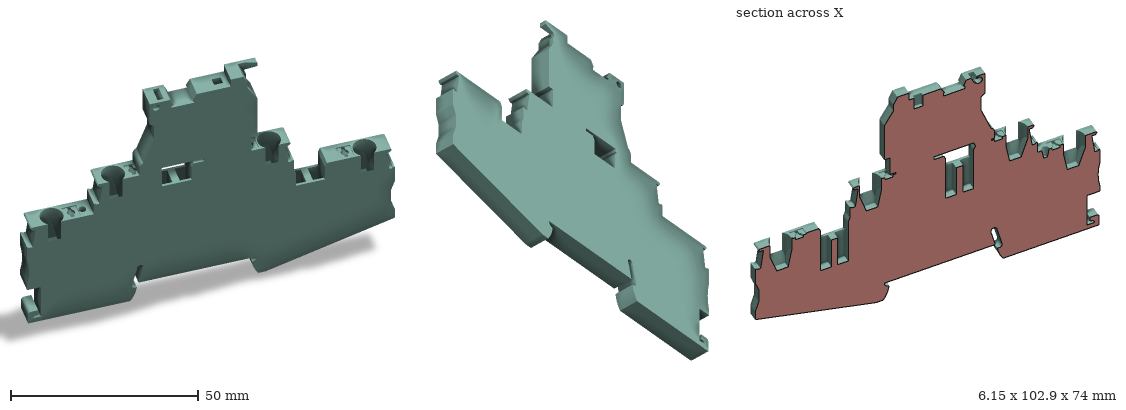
import cadquery as cq


WIDTH = 6.15
LENGTH = 102.9
HEIGHT = 73.98

LOWER_TOP = 35.2
UPPER_TOP = 45.9
UPPER_START = 28.25
UPPER_END = 84.2

LIP_TIP = 0.95
LIP_NOSE = 0.5
LIP_TOP_BEVEL = 0.3
LIP_THICKNESS = 1.15
LIP_NECK = 2.4
SHOULDER_DROP = 6.95
SHOULDER_INSET = 1.55
SHOULDER_RIM = 0.6
SHOULDER_GROOVE = 0.3

SLOT_DEPTH = 5.9
SLOT_BEVEL_DROP = 1.3
SLOT_BEVEL_RUN = 0.6
LOWER_SLOT = (19.6, 27.7)
UPPER_SLOT = (56.85, 65.1)
BRIDGE_HOLE_LENGTH = 3.1
BRIDGE_HOLE_WIDTH = 4.75
BRIDGE_HOLE_DEPTH = 10.0

RAIL_Z = 6.15
FLEX_SLIT_TOP = 12.5
LATCH_STEP_Z = 12.45
LATCH_WALL = 99.05
LATCH_FLOOR = 1.65
HOOK_LIP = 99.8
HOOK_END = 102.6
HOOK_TOP = 4.1
HOOK_UNDERSIDE = 2.45
HOLLOW_FLOOR = 1.05

PLUG_SHELF = 71.4
PLUG_GAP_TOP = 46.8
PLUG_GAP_START = 53.4
PLUG_STEP_Z = 52.1
NOTCH_FLOOR = 68.4
NOTCH_START = 56.2
NOTCH_END = 62.5
EYE_BLOCK_END = 68.6
PLUG_NECK_S = 67.4
PIVOT_S = 68.8
PIVOT_Z = 48.3
PIVOT_RADIUS = 2.67
LEVER_TIP_S = 37.2
LEVER_ROOT_S = 41.2
LEVER_RELIEF_END = 42.4
LEVER_BLOCK_END = 45.9
LEVER_WALL_TOP = 71.6
LEVER_TIP_X = -1.0
LEVER_ROOT_X = -2.05
LEVER_TAPER_END = 40.4
RAMP_START = (38.5, 65.0)
RAMP_END = (40.1, 67.6)
EYE_S = 66.7
EYE_Z = 69.6
EYE_RADIUS = 1.0
TEST_HOLE_S = 48.7
TEST_HOLE_LENGTH = 2.5
TEST_HOLE_WIDTH = 2.2
TEST_HOLE_DEPTH = 4.0
EYE_SLOT_START = 64.4
EYE_SLOT_END = 66.1
EYE_SLOT_WIDTH = 4.3
EYE_SLOT_DEPTH = 2.2
EYE_SLOT_FLOOR_START = 65.45
EYE_SLOT_FLOOR_END = 65.6

WELL_RADIUS = 3.2
WELL_X = 0.45
WELL_DEPTH = 4.3
FUNNEL_DEPTH = 6.0
FLOOR_LENGTH = 3.3
FLOOR_WIDTH = 3.9
FLOOR_SHIFT = 0.45
LOWER_WELL = 7.66
UPPER_WELL = 34.4

BUTTON_X = 0.3
BUTTON_SIZE = 4.05
BUTTON_OFFSET = 5.5
BUTTON_RECESS = 0.3
BUTTON_SLOT = 0.95
BUTTON_DIMPLE_RADIUS = 1.1
BUTTON_SLOT_DEPTH = 0.8

SOCKET_S = 86.6
SOCKET_X = 0.3
SOCKET_RADIUS = 1.05
SOCKET_TIP_RADIUS = 0.5
SOCKET_DEPTH = 3.0


def to_y(s):
    return LENGTH / 2 - s


def pt(s, z):
    """Point of a side outline on the YZ plane."""
    return (to_y(s), z)


def pts(points):
    return [pt(s, z) for s, z in points]


def extrude_side(outline):
    """Extrude a closed side outline over the full width."""
    return outline.close().extrude(WIDTH / 2, both=True)


def side_prism(points, x_start=-WIDTH / 2, x_end=WIDTH / 2):
    """Prism with a straight-edged side outline between two X positions."""
    plane = cq.Workplane("YZ", origin=(x_start, 0, 0))
    return plane.polyline(pts(points)).close().extrude(x_end - x_start)


def box_down(s, x, top, length, width, depth):
    """Box centred at (x, s) that reaches down from the given top height."""
    return cq.Workplane("XY").box(width, length, depth, centered=(True, True, False)).translate(
        (x, to_y(s), top - depth)
    )


def tier_end(end, inward, top):
    """Shoulder, neck and lip of a tier end, from the shoulder up to the lip tip."""
    shoulder = top - SHOULDER_DROP
    groove = shoulder - SHOULDER_GROOVE
    profile = [
        (0, shoulder),
        (SHOULDER_RIM, shoulder),
        (SHOULDER_RIM, groove),
        (SHOULDER_INSET, groove),
        (LIP_NECK, top - LIP_THICKNESS),
        (LIP_TIP + LIP_NOSE, top - LIP_THICKNESS),
        (LIP_TIP, top - LIP_NOSE),
        (LIP_TIP, top - LIP_TOP_BEVEL),
        (LIP_TIP + LIP_TOP_BEVEL, top),
    ]
    return [(end + inward * inset, z) for inset, z in profile]


def slot_outline(slot, top, exit_rim):
    """Slot with a bevelled entry edge; the far wall leans out to exit_rim = (s, z)."""
    start, end = slot
    return [
        (start - SLOT_BEVEL_RUN, top),
        (start, top - SLOT_BEVEL_DROP),
        (start, top - SLOT_DEPTH),
        (end, top - SLOT_DEPTH),
        (end, top - SLOT_BEVEL_DROP),
        exit_rim,
    ]


def make_body():
    top_edge = (
        tier_end(0, 1, LOWER_TOP)
        + slot_outline(LOWER_SLOT, LOWER_TOP, (UPPER_START, LOWER_TOP))
        + tier_end(UPPER_START, 1, UPPER_TOP)
        + slot_outline(UPPER_SLOT, UPPER_TOP, (UPPER_SLOT[1] + SLOT_BEVEL_RUN, UPPER_TOP))
        + tier_end(UPPER_END, -1, UPPER_TOP)[::-1]
        + [(UPPER_END, LOWER_TOP)]
        + tier_end(LENGTH, -1, LOWER_TOP)[::-1]
    )
    return extrude_side(
        cq.Workplane("YZ")
        .polyline(pts(top_edge))
        .lineTo(*pt(LENGTH, 23.3))
        .threePointArc(pt(102.35, 18.85), pt(LENGTH, 14.4))
        .lineTo(*pt(LENGTH, LATCH_STEP_Z))
        .lineTo(*pt(LATCH_WALL, LATCH_STEP_Z))
        .lineTo(*pt(LATCH_WALL, LATCH_FLOOR))
        .lineTo(*pt(101.1, LATCH_FLOOR))
        .threePointArc(pt(100.9, 2.2), pt(100.3, HOOK_UNDERSIDE))
        .lineTo(*pt(HOOK_LIP, HOOK_UNDERSIDE))
        .lineTo(*pt(HOOK_LIP, HOOK_TOP))
        .lineTo(*pt(101.75, HOOK_TOP))
        .threePointArc(pt(102.35, 3.85), pt(HOOK_END, 3.25))
        .lineTo(*pt(HOOK_END, 0))
        .lineTo(*pt(74.0, 0))
        .threePointArc(pt(72.95, 1.8), pt(72.2, 4.65))
        .lineTo(*pt(72.8, 4.65))
        .threePointArc(pt(73.45, 5.0), pt(73.55, 5.8))
        .lineTo(*pt(72.1, 11.5))
        .threePointArc(pt(71.1, FLEX_SLIT_TOP), pt(70.4, 11.3))
        .lineTo(*pt(71.7, RAIL_Z))
        .lineTo(*pt(38.6, RAIL_Z))
        .threePointArc(pt(38.95, 5.15), pt(40.0, 4.75))
        .threePointArc(pt(39.4, 2.2), pt(38.2, 0))
        .lineTo(*pt(36.1, 0))
        .lineTo(*pt(0, 9.35))
        .lineTo(*pt(0, 12.6))
        .lineTo(*pt(HOLLOW_FLOOR, 15.9))
        .lineTo(*pt(HOLLOW_FLOOR, 20.0))
        .lineTo(*pt(0, 22.9))
    )


def make_plug():
    outline = (
        cq.Workplane("YZ")
        .polyline(
            pts(
                [
                    (LEVER_TIP_S, HEIGHT),
                    (LEVER_BLOCK_END, HEIGHT),
                    (LEVER_BLOCK_END, PLUG_SHELF),
                    (55.4, PLUG_SHELF),
                    (56.55, 69.5),
                    (NOTCH_START, 69.3),
                    (NOTCH_START, NOTCH_FLOOR),
                    (NOTCH_END, NOTCH_FLOOR),
                    (NOTCH_END, 69.2),
                    (61.9, 69.2),
                    (62.9, PLUG_SHELF),
                    (EYE_BLOCK_END, PLUG_SHELF),
                    (EYE_BLOCK_END, 63.9),
                    (PLUG_NECK_S, 63.0),
                    (PLUG_NECK_S, 58.2),
                    (70.4, 50.1),
                ]
            )
        )
        .threePointArc(pt(71.15, 49.45), pt(PIVOT_S + PIVOT_RADIUS, PIVOT_Z))
        .lineTo(*pt(PIVOT_S + PIVOT_RADIUS, UPPER_TOP))
        .lineTo(*pt(65.4, UPPER_TOP))
        .lineTo(*pt(65.2, PLUG_GAP_TOP))
        .lineTo(*pt(PLUG_GAP_START, PLUG_GAP_TOP))
        .lineTo(*pt(PLUG_GAP_START, UPPER_TOP))
        .lineTo(*pt(RAMP_END[0], UPPER_TOP))
        .lineTo(*pt(RAMP_END[0], PLUG_STEP_Z))
        .lineTo(*pt(RAMP_START[0], PLUG_STEP_Z))
        .lineTo(*pt(*RAMP_START))
        .lineTo(*pt(*RAMP_END))
        .lineTo(*pt(RAMP_END[0], 69.9))
        .threePointArc(pt(40.65, 70.8), pt(39.9, 71.6))
        .lineTo(*pt(LEVER_TIP_S, 72.7))
    )
    return extrude_side(outline)


def lever_relief():
    """Cut on the +X side that thins the finger lever towards its root."""
    outside = LEVER_TIP_S - 1.0
    ramp_slope = (RAMP_END[1] - RAMP_START[1]) / (RAMP_END[0] - RAMP_START[0])
    root_z = RAMP_END[1] + ramp_slope * (LEVER_ROOT_S - RAMP_END[0])
    side = side_prism(
        [
            (outside, RAMP_END[1]),
            RAMP_END,
            (LEVER_ROOT_S, root_z),
            (LEVER_ROOT_S, LEVER_WALL_TOP),
            (LEVER_RELIEF_END, HEIGHT),
            (outside, HEIGHT),
        ]
    )
    plan = (
        cq.Workplane("XY")
        .polyline(
            [
                (WIDTH / 2, to_y(outside)),
                (LEVER_TIP_X, to_y(outside)),
                (LEVER_TIP_X, to_y(LEVER_TIP_S)),
                (LEVER_ROOT_X, to_y(LEVER_TAPER_END)),
                (LEVER_ROOT_X, to_y(LEVER_RELIEF_END)),
                (WIDTH / 2, to_y(LEVER_RELIEF_END)),
            ]
        )
        .close()
        .extrude(HEIGHT)
    )
    return side.intersect(plan)


def plug_cuts():
    eye = cq.Workplane("YZ").center(*pt(EYE_S, EYE_Z)).circle(EYE_RADIUS).extrude(WIDTH, both=True)
    test_hole = box_down(TEST_HOLE_S, 0, PLUG_SHELF, TEST_HOLE_LENGTH, TEST_HOLE_WIDTH, TEST_HOLE_DEPTH)
    eye_slot = side_prism(
        [
            (EYE_SLOT_START, PLUG_SHELF),
            (EYE_SLOT_END, PLUG_SHELF),
            (EYE_SLOT_FLOOR_END, PLUG_SHELF - EYE_SLOT_DEPTH),
            (EYE_SLOT_FLOOR_START, PLUG_SHELF - EYE_SLOT_DEPTH),
        ],
        -EYE_SLOT_WIDTH / 2,
        EYE_SLOT_WIDTH / 2,
    )
    return [lever_relief(), eye, test_hole, eye_slot]


def wire_entry(s, inward, top):
    """Round well that breaks through the +X side, with a flat-sided funnel to a square floor."""
    shaft = (
        cq.Workplane("XY", origin=(WELL_X, to_y(s), top - WELL_DEPTH - FUNNEL_DEPTH))
        .circle(WELL_RADIUS)
        .extrude(WELL_DEPTH + FUNNEL_DEPTH)
    )
    well = shaft.translate((0, 0, FUNNEL_DEPTH))
    pyramid = (
        cq.Workplane("XY", origin=(WELL_X, to_y(s), top - WELL_DEPTH))
        .rect(2 * WELL_RADIUS, 2 * WELL_RADIUS)
        .workplane(offset=-FUNNEL_DEPTH)
        .center(-WELL_X, -inward * FLOOR_SHIFT)
        .rect(FLOOR_WIDTH, FLOOR_LENGTH)
        .loft(ruled=True)
    )
    funnel = pyramid.intersect(shaft)
    return [well, funnel]


def release_button(well_s, inward, top):
    """Square recessed button with a screwdriver slot and a round dimple."""
    s = well_s + inward * BUTTON_OFFSET
    face = top - BUTTON_RECESS
    recess = box_down(s, BUTTON_X, top, BUTTON_SIZE, BUTTON_SIZE, BUTTON_RECESS)
    slot = box_down(s, BUTTON_X, face, BUTTON_SLOT, BUTTON_SIZE, BUTTON_SLOT_DEPTH)
    dimple = (
        cq.Workplane("XY", origin=(BUTTON_X, to_y(s), face - BUTTON_SLOT_DEPTH))
        .circle(BUTTON_DIMPLE_RADIUS)
        .extrude(BUTTON_SLOT_DEPTH)
    )
    return [recess, slot, dimple]


def bridge_holes(slot, top):
    """Two rectangular holes in a slot floor, one against each slot wall."""
    floor = top - SLOT_DEPTH
    start, end = slot
    centers = [start + BRIDGE_HOLE_LENGTH / 2, end - BRIDGE_HOLE_LENGTH / 2]
    return [
        box_down(s, 0, floor, BRIDGE_HOLE_LENGTH, BRIDGE_HOLE_WIDTH, BRIDGE_HOLE_DEPTH)
        for s in centers
    ]


def test_socket():
    return (
        cq.Workplane("XY", origin=(SOCKET_X, to_y(SOCKET_S), LOWER_TOP))
        .circle(SOCKET_RADIUS)
        .workplane(offset=-SOCKET_DEPTH)
        .circle(SOCKET_TIP_RADIUS)
        .loft()
    )


def body_cuts():
    cuts = bridge_holes(LOWER_SLOT, LOWER_TOP) + bridge_holes(UPPER_SLOT, UPPER_TOP) + [test_socket()]
    wells = [
        (LOWER_WELL, 1, LOWER_TOP),
        (UPPER_WELL, 1, UPPER_TOP),
        (UPPER_START + UPPER_END - UPPER_WELL, -1, UPPER_TOP),
        (LENGTH - LOWER_WELL, -1, LOWER_TOP),
    ]
    for well in wells:
        cuts += wire_entry(*well)
        cuts += release_button(*well)
    return cuts


def cut_all(solid, cuts):
    for cutter in cuts:
        solid = solid.cut(cutter)
    return solid


body = cut_all(make_body(), body_cuts())
plug = cut_all(make_plug(), plug_cuts())
result = body.union(plug)